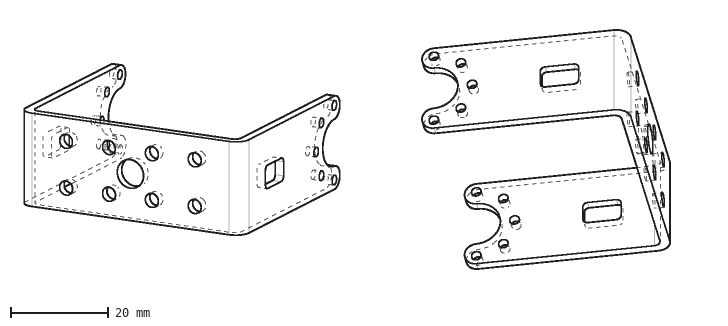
import cadquery as cq
import math

WIDTH = 52.0
HEIGHT = 20.0
THICKNESS = 2.0
BEND_OUTER_RADIUS = 3.0
BEND_INNER_RADIUS = 1.5

HORN_AXIS_Y = 40.7
HORN_CUTOUT_RADIUS = 5.025
EAR_RADIUS = (HEIGHT / 2 - HORN_CUTOUT_RADIUS) / 2
EAR_CENTRE_Z = HORN_CUTOUT_RADIUS + EAR_RADIUS
LENGTH = HORN_AXIS_Y + EAR_RADIUS

HORN_HOLE_DIAMETER = 2.0
HORN_HOLE_CIRCLE_RADIUS = 8.0
HORN_HOLE_COUNT = 5

WINDOW_LENGTH = 8.0
WINDOW_HEIGHT = 5.0
WINDOW_CORNER_RADIUS = 1.0
WINDOW_CENTRE_Y = 14.4

WEB_CENTRE_HOLE_DIAMETER = 6.1
WEB_HOLE_DIAMETER = 3.0
WEB_HOLE_PITCH = 10.0
WEB_HOLE_COLUMNS = 4
WEB_HOLE_ROWS = 2


def across_arms(sketch):
    """Extrude a YZ outline symmetrically so that it spans both arms."""
    return sketch.extrude(WIDTH / 2, both=True)


def bent_strip():
    """Plain U-shaped strip with rounded bends; the web's outer face lies at Y = 0."""
    outer = (
        cq.Workplane("XY")
        .rect(WIDTH, 2 * LENGTH)
        .extrude(HEIGHT / 2, both=True)
        .edges("|Z and <Y")
        .fillet(BEND_OUTER_RADIUS)
        .translate((0, LENGTH, 0))
    )
    inner = (
        cq.Workplane("XY")
        .rect(WIDTH - 2 * THICKNESS, 2 * (LENGTH - THICKNESS))
        .extrude(HEIGHT / 2, both=True)
        .edges("|Z and <Y")
        .fillet(BEND_INNER_RADIUS)
        .translate((0, LENGTH, 0))
    )
    return outer.cut(inner)


def arm_profile():
    """Side outline of the arms: a rectangle ending in two round ears around the horn cutout."""
    half_height = HEIGHT / 2
    outline = (
        cq.Workplane("YZ")
        .moveTo(0, -half_height)
        .lineTo(HORN_AXIS_Y, -half_height)
        .threePointArc((LENGTH, -EAR_CENTRE_Z), (HORN_AXIS_Y, -HORN_CUTOUT_RADIUS))
        .threePointArc((HORN_AXIS_Y - HORN_CUTOUT_RADIUS, 0), (HORN_AXIS_Y, HORN_CUTOUT_RADIUS))
        .threePointArc((LENGTH, EAR_CENTRE_Z), (HORN_AXIS_Y, half_height))
        .lineTo(0, half_height)
        .close()
    )
    return across_arms(outline)


def horn_holes():
    """Evenly spaced holes from straight above the horn axis to straight below it."""
    step = math.pi / (HORN_HOLE_COUNT - 1)
    centres = []
    for index in range(HORN_HOLE_COUNT):
        angle = math.pi / 2 + index * step
        y = HORN_AXIS_Y + HORN_HOLE_CIRCLE_RADIUS * math.cos(angle)
        z = HORN_HOLE_CIRCLE_RADIUS * math.sin(angle)
        centres.append((y, z))
    return across_arms(cq.Workplane("YZ").pushPoints(centres).circle(HORN_HOLE_DIAMETER / 2))


def arm_windows():
    """Rounded rectangular opening that passes through both arms."""
    outline = cq.Workplane("YZ").center(WINDOW_CENTRE_Y, 0).rect(WINDOW_LENGTH, WINDOW_HEIGHT)
    return across_arms(outline).edges("|X").fillet(WINDOW_CORNER_RADIUS)


def web_holes():
    """Central hole and the surrounding grid of mounting holes through the web."""
    centre_hole = cq.Workplane("XZ").circle(WEB_CENTRE_HOLE_DIAMETER / 2).extrude(-THICKNESS)
    grid = (
        cq.Workplane("XZ")
        .rarray(WEB_HOLE_PITCH, WEB_HOLE_PITCH, WEB_HOLE_COLUMNS, WEB_HOLE_ROWS)
        .circle(WEB_HOLE_DIAMETER / 2)
        .extrude(-THICKNESS)
    )
    return centre_hole.union(grid)


bracket = bent_strip().intersect(arm_profile())
result = bracket.cut(horn_holes()).cut(arm_windows()).cut(web_holes())